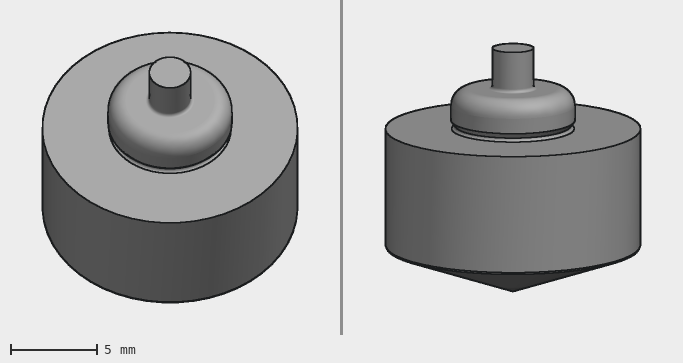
import cadquery as cq
import math

housing_radius = 7.4
total_height = 14.47
cone_angle = 20.0
cone_edge_radius = 7.34
edge_band_height = 0.12
housing_top = 9.68
cone_height = cone_edge_radius * math.tan(math.radians(cone_angle))
edge_band_top = cone_height + edge_band_height

knob_radius = 3.6
knob_height = 2.4
knob_rounding = 1.0
stem_radius = 1.2
stem_fillet = 0.2
waist_radius = 3.36
waist_height = 0.19
waist_flare = 0.19
undercut_top = 0.5
knob_top = housing_top + knob_height

HALF_ARC = math.sqrt(0.5)


def make_housing():
    """Revolved disc with a narrow bevel above its pointed underside."""
    return (
        cq.Workplane("XZ")
        .lineTo(cone_edge_radius, cone_height)
        .lineTo(housing_radius, edge_band_top)
        .lineTo(housing_radius, housing_top)
        .lineTo(0, housing_top)
        .close()
        .revolve(360, (0, 0, 0), (0, 1, 0))
    )


def make_plunger():
    """Revolved knob and stem, standing on the flat top of the housing."""
    rounding_center = (knob_radius - knob_rounding, knob_top - knob_rounding)
    rounding_middle = tuple(c + knob_rounding * HALF_ARC for c in rounding_center)
    flare_center = (waist_radius + waist_flare, housing_top + waist_height)
    flare_middle = tuple(c - waist_flare * HALF_ARC for c in flare_center)
    fillet_center = (stem_radius + stem_fillet, knob_top + stem_fillet)
    fillet_middle = tuple(c - stem_fillet * HALF_ARC for c in fillet_center)
    return (
        cq.Workplane("XZ")
        .moveTo(0, housing_top)
        .lineTo(flare_center[0], housing_top)
        .threePointArc(flare_middle, (waist_radius, housing_top + waist_height))
        .lineTo(knob_radius, housing_top + undercut_top)
        .lineTo(knob_radius, rounding_center[1])
        .threePointArc(rounding_middle, (rounding_center[0], knob_top))
        .lineTo(fillet_center[0], knob_top)
        .threePointArc(fillet_middle, (stem_radius, fillet_center[1]))
        .lineTo(stem_radius, total_height)
        .lineTo(0, total_height)
        .close()
        .revolve(360, (0, 0, 0), (0, 1, 0))
    )


housing = make_housing()
plunger = make_plunger()
result = cq.Compound.makeCompound([housing.val(), plunger.val()])